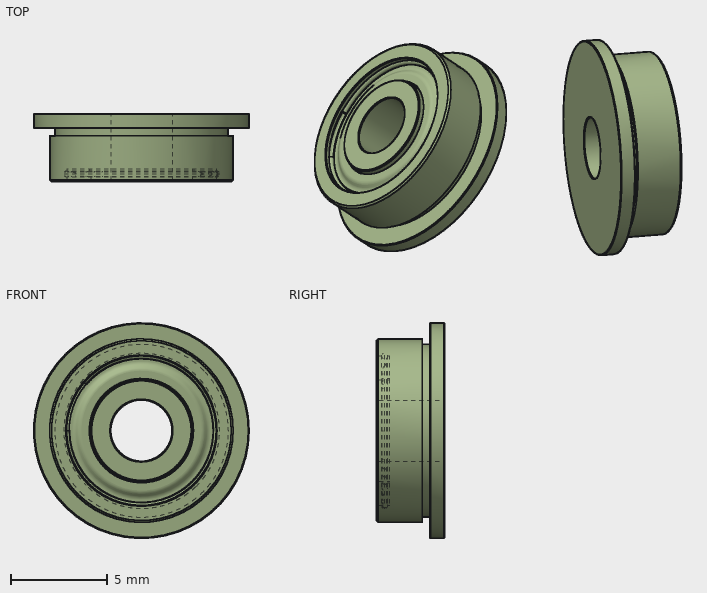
import cadquery as cq

flange_radius = 5.59
width = 3.53

flange_thickness = 0.77
flange_chamfer = 0.05
barrel_radius = 4.76
barrel_chamfer = 0.1
relief_radius = 4.49
relief_width = 0.38
bore_radius = 1.59
bore_chamfer = 0.05
inner_ring_radius = 2.64
inner_ring_chamfer = 0.06
seat_radius = 3.88
seat_chamfer = 0.05

wire_radius = 0.16
wire_depth = 0.41
gap_start_angle = 140.0
gap_angle = 40.0

shield_bore_radius = 2.7
platform_radius = 3.11
platform_depth = 0.27
step_line_inner_radius = 3.29
step_line_outer_radius = 3.41
step_foot_radius = 3.59
rim_depth = 0.5
rim_thickness = 0.17
slope_iterations = 40
seat_depth = rim_depth + rim_thickness


def revolve_about_y(profile):
    return profile.close().revolve(360, (0, 0, 0), (0, 1, 0))


def make_snap_ring():
    """Open wire ring that leaves a gap at the upper left."""
    ring = (
        cq.Workplane("XY")
        .center(seat_radius, wire_depth)
        .circle(wire_radius)
        .revolve(360 - gap_angle, (-seat_radius, 0, 0), (-seat_radius, 1, 0))
    )
    return ring.rotate((0, 0, 0), (0, 1, 0), -gap_start_angle)


def make_wire_groove():
    """Full ring of the wire's section, cut from the parts that the wire beds into."""
    center = cq.Vector(0, wire_depth, 0)
    axis = cq.Vector(0, 1, 0)
    return cq.Workplane("XY").add(cq.Solid.makeTorus(seat_radius, wire_radius, center, axis))


def make_body():
    """Flanged outer ring and inner ring joined by the web behind the shield."""
    relief_end = width - flange_thickness
    body = revolve_about_y(
        cq.Workplane("XY")
        .moveTo(bore_radius, bore_chamfer)
        .lineTo(bore_radius + bore_chamfer, 0)
        .lineTo(inner_ring_radius - inner_ring_chamfer, 0)
        .lineTo(inner_ring_radius, inner_ring_chamfer)
        .lineTo(inner_ring_radius, seat_depth)
        .lineTo(seat_radius, seat_depth)
        .lineTo(seat_radius, seat_chamfer)
        .lineTo(seat_radius + seat_chamfer, 0)
        .lineTo(barrel_radius - barrel_chamfer, 0)
        .lineTo(barrel_radius, barrel_chamfer)
        .lineTo(barrel_radius, relief_end - relief_width)
        .lineTo(relief_radius, relief_end - relief_width)
        .lineTo(relief_radius, relief_end)
        .lineTo(flange_radius - flange_chamfer, relief_end)
        .lineTo(flange_radius, relief_end + flange_chamfer)
        .lineTo(flange_radius, width - flange_chamfer)
        .lineTo(flange_radius - flange_chamfer, width)
        .lineTo(bore_radius + bore_chamfer, width)
        .lineTo(bore_radius, width - bore_chamfer)
    )
    return body.cut(make_wire_groove())


def make_shield():
    """Shield resting on the web, with a round-edged step up to its platform."""
    crown_run = step_line_inner_radius - platform_radius
    foot_run = step_foot_radius - step_line_outer_radius
    slope_run = step_line_outer_radius - step_line_inner_radius
    rise = rim_depth - platform_depth
    half_tangent = 0.0
    for _ in range(slope_iterations):
        half_tangent = rise / (crown_run + foot_run + 2 * slope_run / (1 - half_tangent**2))
    crown_drop = crown_run * half_tangent
    foot_drop = foot_run * half_tangent
    shield = revolve_about_y(
        cq.Workplane("XY")
        .moveTo(shield_bore_radius, seat_depth)
        .lineTo(shield_bore_radius, platform_depth)
        .lineTo(platform_radius, platform_depth)
        .tangentArcPoint((step_line_inner_radius, platform_depth + crown_drop), relative=False)
        .lineTo(step_line_outer_radius, rim_depth - foot_drop)
        .tangentArcPoint((step_foot_radius, rim_depth), relative=False)
        .lineTo(seat_radius, rim_depth)
        .lineTo(seat_radius, seat_depth)
    )
    return shield.cut(make_wire_groove())


body = make_body()
shield = make_shield()
snap_ring = make_snap_ring()

result = cq.Compound.makeCompound([body.val(), shield.val(), snap_ring.val()])